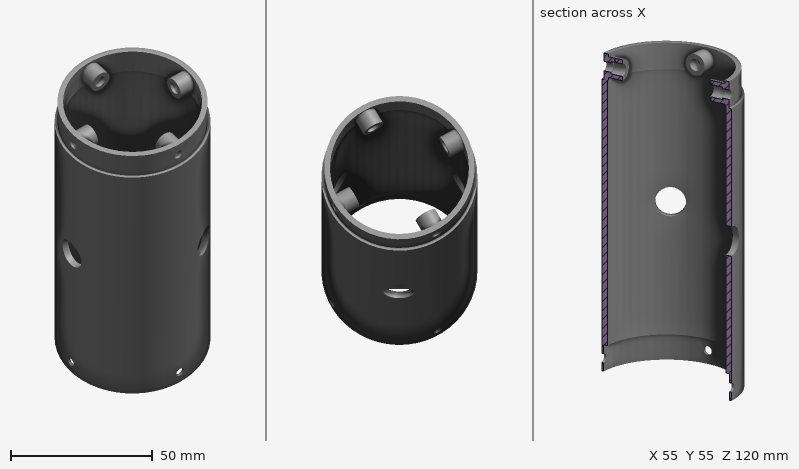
import cadquery as cq

total_height = 120.0
body_diameter = 55.0
body_bore_diameter = 50.0

spigot_height = 10.0
spigot_diameter = 53.0
spigot_bore_diameter = 49.0
body_height = total_height - spigot_height

socket_depth = spigot_height
socket_diameter = spigot_diameter

boss_diameter = 8.0
boss_inner_radius = 18.5
boss_height = total_height - spigot_height / 2
insert_bore_diameter = 4.5
insert_bore_depth = 5.0
boss_screw_diameter = 3.4
screw_angles = (0, 90, 180, 270)

socket_screw_diameter = 3.3
socket_screw_height = socket_depth / 2

window_diameter = 11.0
window_height = total_height / 2
window_angles = (30, 150, 270)

hole_clearance = 1.0
hole_outer_radius = body_diameter / 2 + hole_clearance


def upright_cylinder(diameter, bottom, height):
    """Cylinder on the tube axis, starting at the given Z."""
    return cq.Workplane("XY").workplane(offset=bottom).circle(diameter / 2).extrude(height)


def radial_cylinder(diameter, inner_radius, outer_radius, height, angle):
    """Cylinder pointing away from the tube axis at the given angle."""
    cylinder = cq.Workplane("YZ", origin=(inner_radius, 0, height))
    cylinder = cylinder.circle(diameter / 2).extrude(outer_radius - inner_radius)
    return cylinder.rotate((0, 0, 0), (0, 0, 1), angle)


def make_tube():
    """Stepped tube with a spigot on top and a socket below."""
    tube = upright_cylinder(body_diameter, 0, body_height)
    tube = tube.union(upright_cylinder(spigot_diameter, body_height, spigot_height))
    tube = tube.cut(upright_cylinder(body_bore_diameter, 0, body_height))
    tube = tube.cut(upright_cylinder(spigot_bore_diameter, body_height, spigot_height))
    return tube.cut(upright_cylinder(socket_diameter, 0, socket_depth))


def make_radial_set(diameter, inner_radius, outer_radius, height, angles):
    """Radial cylinders of one size, all at the same height."""
    cylinders = cq.Workplane("XY")
    for angle in angles:
        cylinders = cylinders.add(radial_cylinder(diameter, inner_radius, outer_radius, height, angle))
    return cylinders.combine()


def add_bosses(tube):
    """Bosses rooted halfway into the spigot wall, clear of its outer surface."""
    root_radius = (spigot_bore_diameter + spigot_diameter) / 4
    return tube.union(
        make_radial_set(boss_diameter, boss_inner_radius, root_radius, boss_height, screw_angles)
    )


def cut_boss_bores(tube):
    """Insert bore from inside each boss, then a screw hole out through the wall."""
    insert_end = boss_inner_radius + insert_bore_depth
    inserts = make_radial_set(
        insert_bore_diameter, boss_inner_radius, insert_end, boss_height, screw_angles
    )
    screws = make_radial_set(
        boss_screw_diameter, boss_inner_radius, hole_outer_radius, boss_height, screw_angles
    )
    return tube.cut(inserts).cut(screws)


def cut_wall_holes(tube, diameter, height, angles):
    """Holes through one side of the wall at each angle."""
    return tube.cut(make_radial_set(diameter, boss_inner_radius, hole_outer_radius, height, angles))


result = make_tube()
result = add_bosses(result)
result = cut_boss_bores(result)
result = cut_wall_holes(result, socket_screw_diameter, socket_screw_height, screw_angles)
result = cut_wall_holes(result, window_diameter, window_height, window_angles)